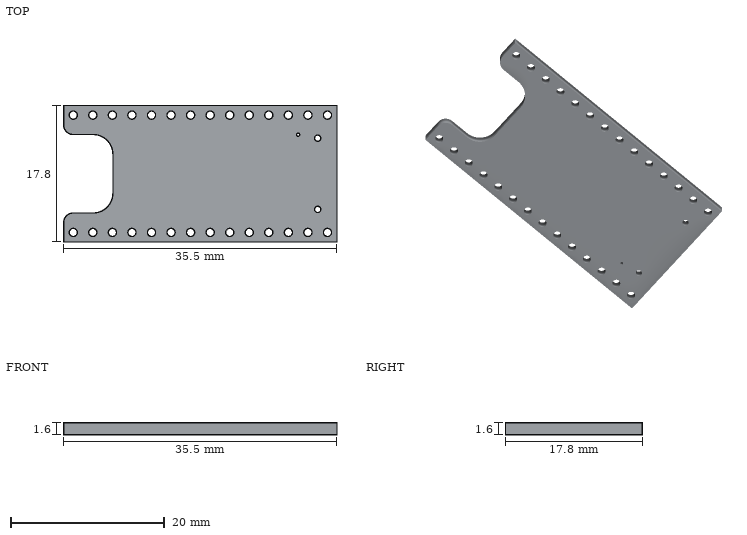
import cadquery as cq

length = 35.55
pitch = length / 14
width = 7 * pitch
thickness = 1.6

pins_per_row = 14
row_spacing = 6 * pitch
pin_hole_diameter = 1.03

notch_depth = 6.4
notch_width = 4 * pitch
notch_inner_radius = pitch
notch_mouth_radius = 1.28

side_hole_diameter = 0.8
side_hole_x = 6 * pitch
side_hole_spacing = 9.25
pilot_hole_diameter = 0.4
pilot_hole_x = 5 * pitch
pilot_hole_y = 2 * pitch


def make_board():
    """Flat board with a rounded notch open towards -X."""
    end_x = -length / 2
    floor_x = end_x + notch_depth
    half_notch = notch_width / 2
    outline = (
        cq.Workplane("XY")
        .workplane(offset=-thickness / 2)
        .moveTo(end_x, -width / 2)
        .lineTo(length / 2, -width / 2)
        .lineTo(length / 2, width / 2)
        .lineTo(end_x, width / 2)
        .lineTo(end_x, half_notch + notch_mouth_radius)
        .radiusArc((end_x + notch_mouth_radius, half_notch), -notch_mouth_radius)
        .lineTo(floor_x - notch_inner_radius, half_notch)
        .radiusArc((floor_x, half_notch - notch_inner_radius), notch_inner_radius)
        .lineTo(floor_x, -half_notch + notch_inner_radius)
        .radiusArc((floor_x - notch_inner_radius, -half_notch), notch_inner_radius)
        .lineTo(end_x + notch_mouth_radius, -half_notch)
        .radiusArc((end_x, -half_notch - notch_mouth_radius), -notch_mouth_radius)
        .close()
    )
    return outline.extrude(thickness)


def drill(board, points, diameter):
    """Drill through holes of one diameter at the given XY points."""
    return board.faces(">Z").workplane(origin=(0, 0, 0)).pushPoints(points).hole(diameter)


first_pin_x = -(pins_per_row - 1) * pitch / 2
pin_points = [
    (first_pin_x + index * pitch, side * row_spacing / 2)
    for side in (-1, 1)
    for index in range(pins_per_row)
]
side_points = [(side_hole_x, side * side_hole_spacing / 2) for side in (-1, 1)]

result = make_board()
result = drill(result, pin_points, pin_hole_diameter)
result = drill(result, side_points, side_hole_diameter)
result = drill(result, [(pilot_hole_x, pilot_hole_y)], pilot_hole_diameter)